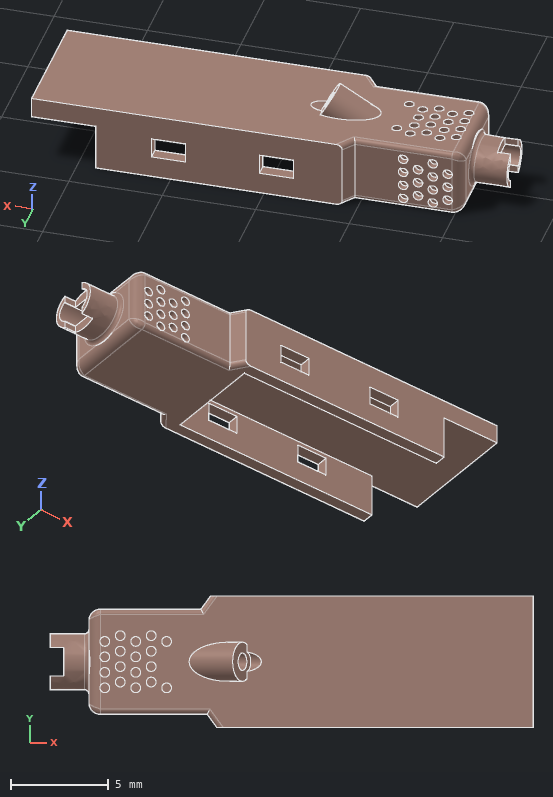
import cadquery as cq
import math

length = 24.9
width = 6.8
height = 4.95
half_width = width / 2
body_height = 3.65
plate_thickness = 1.12
body_end = 21.46
nose_start = 2.0
nose_half_width = 2.71
shoulder_length = 0.5
shoulder_start_left = 7.77
shoulder_start_right = 8.1
shoulder_end_left = shoulder_start_left + shoulder_length
shoulder_end_right = shoulder_start_right + shoulder_length
front_round = 0.6
side_round = 0.27

wall = 0.67
cavity_start = 9.01
cavity_roof = body_height - plate_thickness
window_starts = (10.88, 16.65)
window_length = 1.82
window_bottom = 1.2
window_height = 1.1

neck_z = 1.9
neck_radius_y = 1.45
neck_radius_z = 1.17
neck_fillet = 0.22
neck_collar_margin = 0.25
bore_radius_y = 1.17
bore_radius_z = 0.8
bore_flat_height = 1.22
neck_slot_depth = 0.7
neck_slot_width = 1.45

boss_slope = math.radians(30)
boss_diameter = 2.02
boss_bore_diameter = 0.9
boss_face_x = 9.9
boss_face_z = height - boss_diameter / 2 * math.cos(boss_slope)
boss_length = 4.98

relief_diameter = 1.05
relief_x = 9.84
relief_reach = 1.0

dimple_diameter = 0.5
dimple_depth = 0.37
dimple_pitch = 0.8
first_column_x = 2.81
top_outer_first = -1.35
top_inner_first = -1.05
side_three_first = 0.82
side_four_first = 0.52


def box(x_range, y_range, z_range):
    """Block between pairs of limits on each axis."""
    lows, highs = zip(x_range, y_range, z_range)
    sizes = [high - low for low, high in zip(lows, highs)]
    return cq.Workplane("XY").box(*sizes, centered=False).translate(lows)


def slanted_cylinder(x, z, diameter, depth):
    """Cylinder whose upper end is centred at (x, z) and which slopes down towards -X."""
    direction = cq.Vector(-math.cos(boss_slope), 0, -math.sin(boss_slope))
    rod = cq.Solid.makeCylinder(diameter / 2, depth, cq.Vector(x, 0, z), direction)
    return cq.Workplane(rod)


def body():
    """Plate outline with a narrow rounded nose, overhanging at the rear."""
    outline = [
        (nose_start, -nose_half_width),
        (shoulder_start_right, -nose_half_width),
        (shoulder_end_right, -half_width),
        (length, -half_width),
        (length, half_width),
        (shoulder_end_left, half_width),
        (shoulder_start_left, nose_half_width),
        (nose_start, nose_half_width),
    ]
    block = cq.Workplane("XY").polyline(outline).close().extrude(body_height)

    nose_region = cq.selectors.BoxSelector(
        (nose_start + side_round, -half_width, -side_round),
        (shoulder_end_right, half_width, body_height + side_round),
    )
    block = block.edges(nose_region).edges("#Z").fillet(side_round)
    block = block.faces("<X").edges().fillet(front_round)

    overhang = box((body_end, length), (-half_width, half_width), (0, cavity_roof))
    return block.cut(overhang)


def cavity():
    """Space under the plate, open below and at the rear."""
    return box((cavity_start, body_end), (wall - half_width, half_width - wall), (0, cavity_roof))


def windows():
    """Rectangular openings through both side walls."""
    cutters = cq.Workplane("XY")
    z_range = (window_bottom, window_bottom + window_height)
    for start in window_starts:
        x_range = (start, start + window_length)
        cutters = cutters.union(box(x_range, (-half_width, half_width), z_range))
    return cutters


def elliptic_rod(start, end, radius_y, radius_z):
    """Oval rod along X on the neck axis."""
    plane = cq.Workplane("YZ", origin=(start, 0, neck_z))
    return plane.ellipse(radius_y, radius_z).extrude(end - start)


def neck():
    """Oval neck, slotted into two prongs at its tip and flared where it joins the nose."""
    root = nose_start + front_round
    rod = elliptic_rod(0, root, neck_radius_y, neck_radius_z)
    collar = elliptic_rod(
        nose_start,
        root,
        neck_radius_y + neck_collar_margin,
        neck_radius_z + neck_collar_margin,
    )
    flared = rod.union(collar).edges("%BSPLINE").fillet(neck_fillet)
    slot = box((0, neck_slot_depth), (-neck_slot_width / 2, neck_slot_width / 2), (0, body_height))
    return flared.cut(slot)


def bore():
    """Oval passage with flat top and bottom, from the neck tip into the cavity."""
    oval = elliptic_rod(0, cavity_start, bore_radius_y, bore_radius_z)
    flats = box(
        (0, cavity_start),
        (-bore_radius_y, bore_radius_y),
        (neck_z - bore_flat_height / 2, neck_z + bore_flat_height / 2),
    )
    return oval.intersect(flats)


def relief():
    """Slanted scoop in the top face, partly covered by the boss."""
    upper_x = relief_x + relief_reach * math.cos(boss_slope)
    upper_z = body_height + relief_reach * math.sin(boss_slope)
    return slanted_cylinder(upper_x, upper_z, relief_diameter, 2 * relief_reach)


def boss():
    """Slanted round boss, trimmed to the part above the plate's underside."""
    rod = slanted_cylinder(boss_face_x, boss_face_z, boss_diameter, boss_length)
    keep = box((0, length), (-half_width, half_width), (cavity_roof, body_height + boss_diameter))
    return rod.intersect(keep)


def boss_bore():
    """Round hole down the boss axis, ending on the axis of the oval passage."""
    depth = (boss_face_z - neck_z) / math.sin(boss_slope)
    return slanted_cylinder(boss_face_x, boss_face_z, boss_bore_diameter, depth)


def dimple_grid(columns):
    """Dimple centres: each column is a first position across, and a list of steps from it."""
    return [
        (first_column_x + index * dimple_pitch, first + step * dimple_pitch)
        for index, (first, steps) in enumerate(columns)
        for step in steps
    ]


def dimples(columns, plane):
    """Blind round pits sunk against the normal of the given plane."""
    return (
        cq.Workplane(plane)
        .pushPoints(dimple_grid(columns))
        .circle(dimple_diameter / 2)
        .extrude(-dimple_depth)
    )


def top_dimples():
    """Four staggered columns on the top face and a fifth with only its end dimples."""
    outer = (top_outer_first, range(4))
    inner = (top_inner_first, range(4))
    ends_only = (top_outer_first, (0, 3))
    plane = cq.Plane((0, 0, body_height), xDir=(1, 0, 0), normal=(0, 0, 1))
    return dimples([outer, inner, outer, inner, ends_only], plane)


def side_dimples():
    """Staggered columns of three and four dimples, mirrored on both flanks of the nose."""
    three = (side_three_first, range(3))
    four = (side_four_first, range(4))
    plane = cq.Plane((0, -nose_half_width, 0), xDir=(1, 0, 0), normal=(0, -1, 0))
    right = dimples([three, four, three, four], plane)
    return right.union(right.mirror("XZ"))


result = (
    body()
    .cut(cavity())
    .cut(windows())
    .cut(relief())
    .union(boss())
    .union(neck())
    .cut(bore())
    .cut(boss_bore())
    .cut(top_dimples())
    .cut(side_dimples())
)